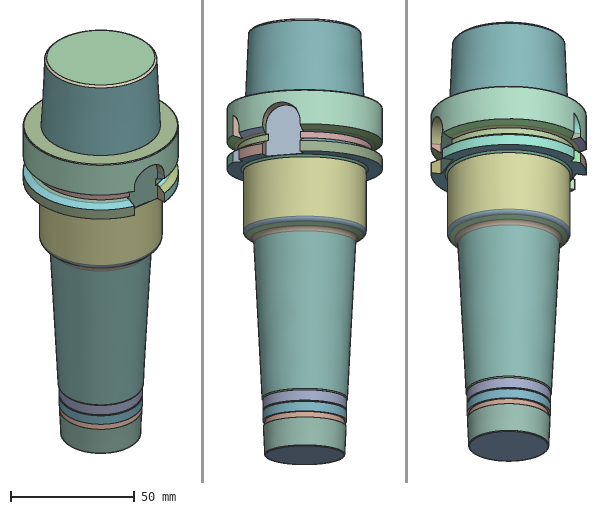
import cadquery as cq
import math

LENGTH = 177.0

SHANK_END_RADIUS = 22.0
SHANK_TOP_RADIUS = 22.8
SHANK_BASE_RADIUS = 24.2
SHANK_CHAMFER_HEIGHT = 0.9

FLANGE_RADIUS = 31.5
FLANGE_TOP = 145.1
FLANGE_TOP_CHAMFER = 0.4
FLANGE_BOTTOM = 119.5
GROOVE_RADIUS = 27.0
GROOVE_SIDE_END_RADIUS = 28.7
GROOVE_WALL_RISE = 0.5
GROOVE_MIDDLE = 127.3
GROOVE_FLOOR_WIDTH = 2.7
GROOVE_SIDE_ANGLE = 30.0

BODY_RADIUS = 25.0
BODY_TOP_FLARE = 0.9
BODY_BOTTOM = 93.8
SHOULDER_SLOPE = 30.0
SHOULDER_EDGE_RADIUS = 2.1
SHOULDER_FILLET_RADIUS = 2.3

NECK_TOP_RADIUS = 20.7
NECK_TOP = 88.7
NECK_BOTTOM_RADIUS = 17.3
NECK_BOTTOM = 23.7

COLLAR_RADIUS = 17.0
COLLAR_STEP_HEIGHT = 0.5
COLLAR_BOTTOM = 14.3
SCORE_MIDDLE = 18.5
SCORE_WIDTH = 0.5
SCORE_DEPTH = 0.4
RELIEF_RADIUS = 16.1
NOSE_TOP_RADIUS = 16.8
NOSE_TOP = 11.9
NOSE_BOTTOM_RADIUS = 16.3
NOSE_CHAMFER = 0.4

SLOT_WIDTH = 16.0
SLOT_FLOOR = 26.2
SLOT_ARC_CENTER = 132.2
NOTCH_FLOOR = 20.4
NOTCH_SIDE = 20.0
CUTTER_CLEARANCE = 1.8


def make_body():
    """Revolve the half outline about the Z axis."""
    slope = math.radians(SHOULDER_SLOPE)
    groove_rise = (FLANGE_RADIUS - GROOVE_SIDE_END_RADIUS) * math.tan(math.radians(GROOVE_SIDE_ANGLE))
    groove_top = GROOVE_MIDDLE + GROOVE_FLOOR_WIDTH / 2
    groove_bottom = GROOVE_MIDDLE - GROOVE_FLOOR_WIDTH / 2
    upper_side_end = groove_top + GROOVE_WALL_RISE
    lower_side_end = groove_bottom - GROOVE_WALL_RISE

    turn = math.pi / 2 - slope
    edge_center = BODY_RADIUS - SHOULDER_EDGE_RADIUS
    fillet_center = NECK_TOP_RADIUS + SHOULDER_FILLET_RADIUS

    def edge_point(angle):
        return (
            edge_center + SHOULDER_EDGE_RADIUS * math.cos(angle),
            BODY_BOTTOM - SHOULDER_EDGE_RADIUS * math.sin(angle),
        )

    def fillet_point(angle):
        return (
            fillet_center - SHOULDER_FILLET_RADIUS * math.cos(angle),
            NECK_TOP + SHOULDER_FILLET_RADIUS * math.sin(angle),
        )

    outline = (
        cq.Workplane("XZ")
        .moveTo(0, LENGTH)
        .lineTo(SHANK_END_RADIUS, LENGTH)
        .lineTo(SHANK_TOP_RADIUS, LENGTH - SHANK_CHAMFER_HEIGHT)
        .lineTo(SHANK_BASE_RADIUS, FLANGE_TOP)
        .lineTo(FLANGE_RADIUS - FLANGE_TOP_CHAMFER, FLANGE_TOP)
        .lineTo(FLANGE_RADIUS, FLANGE_TOP - FLANGE_TOP_CHAMFER)
        .lineTo(FLANGE_RADIUS, upper_side_end + groove_rise)
        .lineTo(GROOVE_SIDE_END_RADIUS, upper_side_end)
        .lineTo(GROOVE_RADIUS, groove_top)
        .lineTo(GROOVE_RADIUS, groove_bottom)
        .lineTo(GROOVE_SIDE_END_RADIUS, lower_side_end)
        .lineTo(FLANGE_RADIUS, lower_side_end - groove_rise)
        .lineTo(FLANGE_RADIUS, FLANGE_BOTTOM)
        .lineTo(BODY_RADIUS + BODY_TOP_FLARE, FLANGE_BOTTOM)
        .lineTo(BODY_RADIUS, FLANGE_BOTTOM - BODY_TOP_FLARE)
        .lineTo(BODY_RADIUS, BODY_BOTTOM)
        .threePointArc(edge_point(turn / 2), edge_point(turn))
        .lineTo(*fillet_point(turn))
        .threePointArc(fillet_point(turn / 2), fillet_point(0))
        .lineTo(NECK_BOTTOM_RADIUS, NECK_BOTTOM)
        .lineTo(COLLAR_RADIUS, NECK_BOTTOM - COLLAR_STEP_HEIGHT)
        .lineTo(COLLAR_RADIUS, SCORE_MIDDLE + SCORE_WIDTH / 2)
        .lineTo(COLLAR_RADIUS - SCORE_DEPTH, SCORE_MIDDLE)
        .lineTo(COLLAR_RADIUS, SCORE_MIDDLE - SCORE_WIDTH / 2)
        .lineTo(COLLAR_RADIUS, COLLAR_BOTTOM)
        .lineTo(RELIEF_RADIUS, COLLAR_BOTTOM)
        .lineTo(NOSE_TOP_RADIUS, NOSE_TOP)
        .lineTo(NOSE_BOTTOM_RADIUS, NOSE_CHAMFER)
        .lineTo(NOSE_BOTTOM_RADIUS - NOSE_CHAMFER, 0)
        .lineTo(0, 0)
        .close()
    )
    return outline.revolve(360, (0, 0, 0), (0, 1, 0))


def round_topped_cutter(floor, center_y):
    """Cutter on the -X side, outside X = -floor, open through the flange bottom."""
    depth = FLANGE_RADIUS - floor + CUTTER_CLEARANCE
    half_width = SLOT_WIDTH / 2
    return (
        cq.Workplane("YZ", origin=(-floor, center_y, 0))
        .moveTo(-half_width, FLANGE_BOTTOM)
        .lineTo(half_width, FLANGE_BOTTOM)
        .lineTo(half_width, SLOT_ARC_CENTER)
        .threePointArc((0, SLOT_ARC_CENTER + half_width), (-half_width, SLOT_ARC_CENTER))
        .close()
        .extrude(-depth)
    )


drive_slot = round_topped_cutter(SLOT_FLOOR, 0)
opposite_slot = drive_slot.rotate((0, 0, 0), (0, 0, 1), 180)
orientation_notch = round_topped_cutter(NOTCH_FLOOR, NOTCH_SIDE + SLOT_WIDTH / 2)

result = make_body().cut(drive_slot).cut(opposite_slot).cut(orientation_notch)